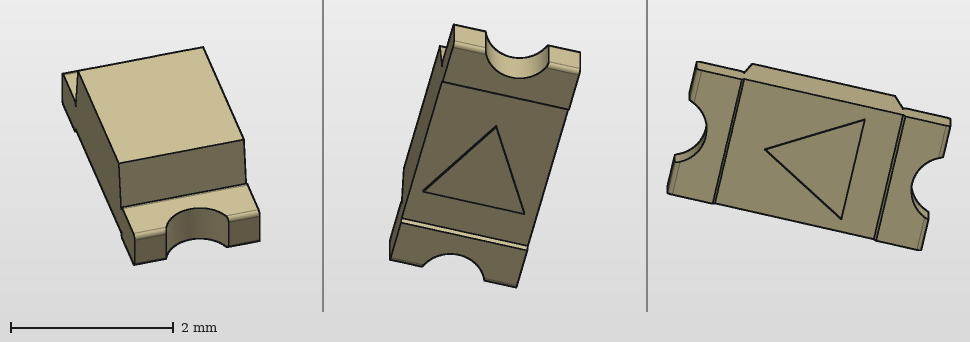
import cadquery as cq
import math

LENGTH = 3.2
WIDTH = 1.6
HEIGHT = 1.1

PLATING = 0.06
TERMINAL_LENGTH = 0.6
TERMINAL_HEIGHT = 0.5
FOOT_TAPER = 0.03

NOTCH_DEPTH = 0.3
NOTCH_WIDTH = 0.8

LENS_TOP_LENGTH = 1.8

MARK_LENGTH = 1.11
MARK_THICKNESS = 0.03

END_X = LENGTH / 2
TERMINAL_INNER_X = END_X - TERMINAL_LENGTH
BOARD_LENGTH = LENGTH - 2 * PLATING
BOARD_BOTTOM = PLATING
BOARD_TOP = TERMINAL_HEIGHT - PLATING
NOTCH_RADIUS = (NOTCH_DEPTH**2 + (NOTCH_WIDTH / 2) ** 2) / (2 * NOTCH_DEPTH)
NOTCH_CENTRE_X = END_X - NOTCH_DEPTH + NOTCH_RADIUS
ARC_MIDPOINT = PLATING * math.sqrt(0.5)
MARK_HALF_BASE = MARK_LENGTH * math.tan(math.radians(30))


def extrude_across_width(outline):
    """Extrude an XZ outline symmetrically over the full width."""
    return outline.extrude(WIDTH / 2, both=True)


def make_board():
    """Plain rectangular board between the terminals' outer walls."""
    board_height = BOARD_TOP - BOARD_BOTTOM
    return (
        cq.Workplane("XY")
        .workplane(offset=BOARD_BOTTOM)
        .box(BOARD_LENGTH, WIDTH, board_height, centered=(True, True, False))
    )


def make_terminal():
    """Terminal at the +X end: rounded at every corner but its tapered foot."""
    round_x = END_X - PLATING
    inner_round_x = TERMINAL_INNER_X + PLATING
    outline = (
        cq.Workplane("XZ")
        .moveTo(TERMINAL_INNER_X + FOOT_TAPER, 0)
        .lineTo(round_x, 0)
        .threePointArc((round_x + ARC_MIDPOINT, PLATING - ARC_MIDPOINT), (END_X, PLATING))
        .lineTo(END_X, BOARD_TOP)
        .threePointArc((round_x + ARC_MIDPOINT, BOARD_TOP + ARC_MIDPOINT), (round_x, TERMINAL_HEIGHT))
        .lineTo(inner_round_x, TERMINAL_HEIGHT)
        .threePointArc(
            (inner_round_x - ARC_MIDPOINT, BOARD_TOP + ARC_MIDPOINT),
            (TERMINAL_INNER_X, BOARD_TOP),
        )
        .lineTo(TERMINAL_INNER_X, BOARD_BOTTOM)
        .close()
    )
    return extrude_across_width(outline)


def make_notch():
    """Cutter for the half-round notch at the +X end."""
    return cq.Workplane("XY").center(NOTCH_CENTRE_X, 0).circle(NOTCH_RADIUS).extrude(TERMINAL_HEIGHT)


def make_lens():
    """Lens tapering upward from the inner edges of the terminals."""
    half_top = LENS_TOP_LENGTH / 2
    outline = (
        cq.Workplane("XZ")
        .moveTo(-TERMINAL_INNER_X, BOARD_TOP)
        .lineTo(TERMINAL_INNER_X, BOARD_TOP)
        .lineTo(half_top, HEIGHT)
        .lineTo(-half_top, HEIGHT)
        .close()
    )
    return extrude_across_width(outline)


def make_mark():
    """Equilateral triangle pointing toward -X."""
    base_x = MARK_LENGTH / 2
    outline = (
        cq.Workplane("XY")
        .workplane(offset=BOARD_BOTTOM - MARK_THICKNESS)
        .polyline([(-base_x, 0), (base_x, -MARK_HALF_BASE), (base_x, MARK_HALF_BASE)])
        .close()
    )
    return outline.extrude(MARK_THICKNESS)


terminal = make_terminal()
notch = make_notch()

result = make_board().union(make_lens()).union(make_mark())
result = result.union(terminal).union(terminal.mirror("YZ"))
result = result.cut(notch).cut(notch.mirror("YZ"))